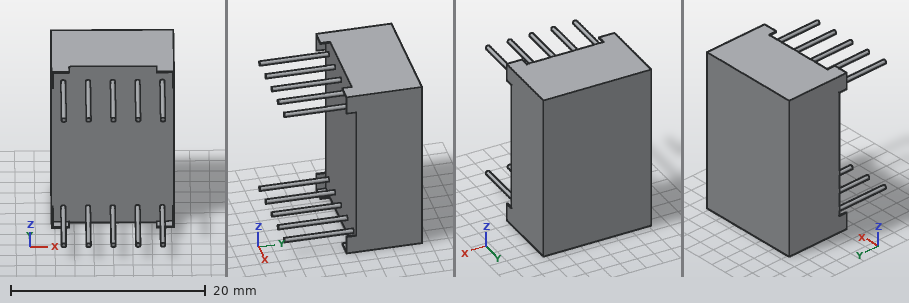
import cadquery as cq

case_width = 12.6
case_height = 19.0
case_depth = 7.0

foot_height = 1.0
foot_length_x = 1.8
foot_length_z = 2.0
foot_wall = 0.15

overall_depth = 14.3
pin_diameter = 0.5
pin_pitch = 2.55
pins_per_row = 5
row_count = 2
row_spacing = 15.24
pin_length = overall_depth - case_depth


def box_on_front(width, height, length):
    """Box centred in X and Z that rises from the case front (y = 0) toward -Y."""
    return cq.Workplane("XZ").rect(width, height).extrude(length)


def make_case():
    """Plain rectangular block behind the front face."""
    return box_on_front(case_width, case_height, -case_depth)


def make_feet():
    """Thin wall frame cut away between the corners, leaving four L-shaped feet."""
    frame = box_on_front(case_width, case_height, foot_height)
    inside = box_on_front(case_width - 2 * foot_wall, case_height - 2 * foot_wall, foot_height)
    gap_along_x = box_on_front(case_width - 2 * foot_length_x, case_height, foot_height)
    gap_along_z = box_on_front(case_width, case_height - 2 * foot_length_z, foot_height)
    return frame.cut(inside).cut(gap_along_x).cut(gap_along_z)


def make_pins():
    """Rows of straight pins standing on the front face."""
    return (
        cq.Workplane("XZ")
        .rarray(pin_pitch, row_spacing, pins_per_row, row_count)
        .circle(pin_diameter / 2)
        .extrude(pin_length)
    )


result = make_case().union(make_feet()).union(make_pins())